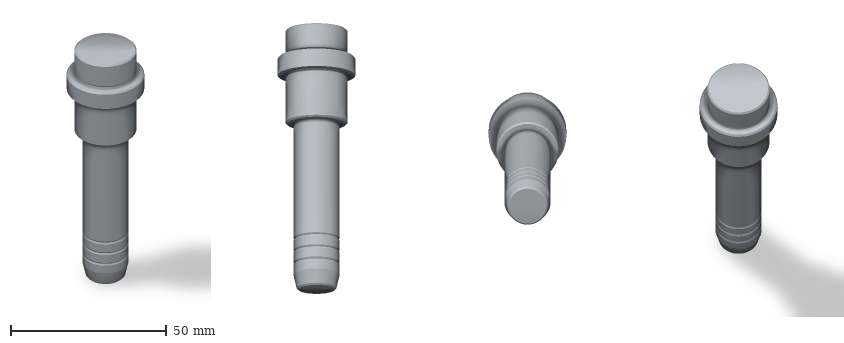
import cadquery as cq

length = 86.0
flange_radius = 12.51
body_radius = 10.02
stem_radius = 7.5
edge_chamfer = 0.5

flange_top = 77.0
flange_bottom = 71.0
body_bottom = 54.95

relief_width = 1.0
relief_depth = 0.5

ring_count = 3
ring_pitch = 4.0
lowest_ring = 8.5
ring_width = 1.0
ring_depth = 0.35

taper_height = 5.1
tip_radius = 6.45
tip_chamfer = 0.5


def cylinder(radius, bottom, top):
    """Make a cylinder on the pin axis."""
    return cq.Workplane("XY").workplane(offset=bottom).circle(radius).extrude(top - bottom)


def cut_groove(part, surface_radius, middle, width, depth, rounded=False):
    """Cut a ring groove with a V or an arc section into a cylindrical surface."""
    top = middle + width / 2
    bottom = middle - width / 2
    outer_radius = surface_radius + depth
    floor = (surface_radius - depth, middle)
    section = cq.Workplane("XZ").moveTo(surface_radius, top)
    if rounded:
        section = section.threePointArc(floor, (surface_radius, bottom))
    else:
        section = section.lineTo(*floor).lineTo(surface_radius, bottom)
    cutter = (
        section.lineTo(outer_radius, bottom)
        .lineTo(outer_radius, top)
        .close()
        .revolve(360, (0, 0, 0), (0, 1, 0))
    )
    return part.cut(cutter)


def make_stem():
    """Turn the stem with its tapered and chamfered tip."""
    return (
        cq.Workplane("XZ")
        .lineTo(tip_radius - tip_chamfer, 0)
        .lineTo(tip_radius, tip_chamfer)
        .lineTo(stem_radius, taper_height)
        .lineTo(stem_radius, body_bottom)
        .lineTo(0, body_bottom)
        .close()
        .revolve(360, (0, 0, 0), (0, 1, 0))
    )


body = cylinder(body_radius, body_bottom, length).faces("<Z or >Z").chamfer(edge_chamfer)
flange = cylinder(flange_radius, flange_bottom, flange_top).faces(">Z").chamfer(edge_chamfer)
result = make_stem().union(body).union(flange)

half_relief = relief_width / 2
for middle in (flange_top + half_relief, flange_bottom - half_relief):
    result = cut_groove(result, body_radius, middle, relief_width, relief_depth)

neck_middle = body_bottom - half_relief
result = cut_groove(result, stem_radius, neck_middle, relief_width, relief_depth, rounded=True)

for index in range(ring_count):
    middle = lowest_ring + index * ring_pitch
    result = cut_groove(result, stem_radius, middle, ring_width, ring_depth)